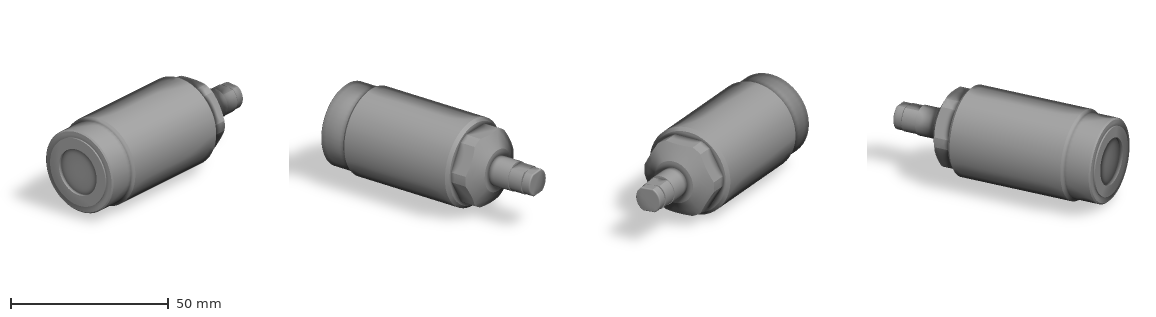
import cadquery as cq
import math

total_length = 75.5

housing_diameter = 30.0
housing_radius = housing_diameter / 2
housing_back = 51.05
housing_chamfer = 1.05
collar_radius = 14.05
collar_back = 9.5
collar_chamfer = 0.45
collar_front = 0.5
shoulder_chamfer = 1.05
boss_radius = 11.55
recess_radius = 7.85
recess_depth = 1.2

nut_apothem = 12.0
nut_corner_radius = 13.0
nut_back = 59.9
nut_top_radius = 7.2
nut_cone_angle = 30.0

sleeve_radius = 5.0
sleeve_back = 67.35
grip_radius = 4.75
grip_back = 72.25
grip_flat_offset = 4.0
groove_width = 0.3
groove_radius = 4.0
tip_radius = 4.5
tip_flat_offset = 4.0
tip_fillet = 0.45
connector_twist = 4.5


def revolve_about_y(points):
    """Revolve a closed (radius, Y) outline about the Y axis."""
    return cq.Workplane("XY").polyline(points).close().revolve(360, (0, 0, 0), (0, 1, 0))


def cylinder(radius, start, end):
    """Solid cylinder on the Y axis, from Y = start to Y = end."""
    return revolve_about_y([(0, start), (radius, start), (radius, end), (0, end)])


def make_housing():
    """Chamfered barrel with a stepped front collar, a face boss and a shallow round recess."""
    barrel = revolve_about_y([
        (0, 0),
        (boss_radius, 0),
        (boss_radius, collar_front),
        (collar_radius - collar_chamfer, collar_front),
        (collar_radius, collar_front + collar_chamfer),
        (collar_radius, collar_back),
        (housing_radius - shoulder_chamfer, collar_back),
        (housing_radius, collar_back + shoulder_chamfer),
        (housing_radius, housing_back - housing_chamfer),
        (housing_radius - housing_chamfer, housing_back),
        (0, housing_back),
    ])
    return barrel.cut(cylinder(recess_radius, 0, recess_depth))


def make_nut():
    """Hexagon with rounded corners and a conical back, with two flats facing up and down."""
    cone_length = (nut_corner_radius - nut_top_radius) * math.tan(math.radians(nut_cone_angle))
    envelope = revolve_about_y([
        (0, housing_back),
        (nut_corner_radius, housing_back),
        (nut_corner_radius, nut_back - cone_length),
        (nut_top_radius, nut_back),
        (0, nut_back),
    ])
    across_corners = 2 * nut_apothem / math.cos(math.pi / 6)
    hexagon = (
        cq.Workplane("XZ", origin=(0, housing_back, 0))
        .polygon(6, across_corners)
        .extrude(housing_back - nut_back)
    )
    return envelope.intersect(hexagon)


def flatten(body, flat_offset, start, end):
    """Keep the part of a round body between two flats at Z = +/- flat_offset."""
    slab = cq.Workplane("XY").box(2 * sleeve_radius, end - start, 2 * flat_offset)
    return body.intersect(slab.translate((0, (start + end) / 2, 0)))


def make_connector():
    """Round sleeve, flatted grip, narrow groove and flatted tip, all turned slightly about Y."""
    tip_front = grip_back + groove_width
    sleeve = cylinder(sleeve_radius, nut_back, sleeve_back)
    grip = flatten(cylinder(grip_radius, sleeve_back, grip_back), grip_flat_offset, sleeve_back, grip_back)
    groove = cylinder(groove_radius, grip_back, tip_front)
    tip = cylinder(tip_radius, tip_front, total_length)
    tip = flatten(tip, tip_flat_offset, tip_front, total_length)
    tip = tip.faces(">Y").fillet(tip_fillet)
    connector = sleeve.union(grip).union(groove).union(tip)
    return connector.rotate((0, 0, 0), (0, 1, 0), connector_twist)


housing = make_housing()
nut = make_nut()
connector = make_connector()

result = cq.Compound.makeCompound([housing.val(), nut.val(), connector.val()])